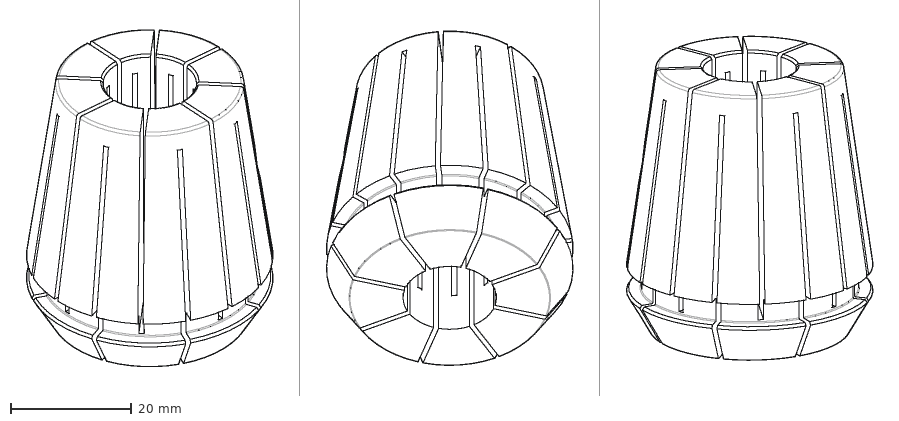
import cadquery as cq
import math

height = 46.0
max_diameter = 41.0
bore_diameter = 15.5
cone_angle = 8.0
nose_angle = 30.0

nose_height = 6.6
flange_top = 7.1
flange_bevel = 0.35
neck_radius = 18.1
cone_base = 11.15

top_fillet = 0.5
bore_chamfer = 0.4
groove_fillet = 0.2
nose_fillet = 0.2
edge_margin = 0.05

slots_per_side = 8
slot_width = 0.87
lower_slot_top = 42.55
upper_slot_floor = 7.6

max_radius = max_diameter / 2
bore_radius = bore_diameter / 2
nose_radius = max_radius - nose_height * math.tan(math.radians(nose_angle))
top_radius = max_radius - (height - cone_base) * math.tan(math.radians(cone_angle))
slot_pitch = 360 / slots_per_side


def circle_within(radius, z):
    """Selector for circular edges at height z that are no larger than the given radius."""
    reach = radius + edge_margin
    low_corner = (-reach, -reach, z - edge_margin)
    high_corner = (reach, reach, z + edge_margin)
    return cq.selectors.BoxSelector(low_corner, high_corner, boundingbox=True)


def outer_body():
    """Solid of revolution: nose cone, flange, groove and clamping cone."""
    section = [
        (0, 0),
        (nose_radius, 0),
        (max_radius, nose_height),
        (max_radius - flange_bevel, flange_top),
        (neck_radius, flange_top),
        (neck_radius, cone_base),
        (max_radius, cone_base),
        (top_radius, height),
        (0, height),
    ]
    body = cq.Workplane("XZ").polyline(section).close().revolve(360, (0, 0, 0), (0, 1, 0))
    for groove_level in (flange_top, cone_base):
        body = body.edges(circle_within(neck_radius, groove_level)).fillet(groove_fillet)
    body = body.edges(circle_within(top_radius, height)).fillet(top_fillet)
    return body.edges(circle_within(nose_radius, 0)).fillet(nose_fillet)


def bored(body):
    """Cut the through bore and chamfer its mouth at the top face."""
    bore = cq.Workplane("XY").circle(bore_radius).extrude(height)
    return body.cut(bore).edges(circle_within(bore_radius, height)).chamfer(bore_chamfer)


def radial_slots(bottom, top, first_angle):
    """Equally spaced slots from the axis outward, between two heights."""
    blade = (
        cq.Workplane("XY", origin=(0, 0, bottom))
        .rect(max_diameter, slot_width)
        .extrude(top - bottom)
        .translate((max_radius, 0, 0))
    )
    slots = cq.Workplane("XY")
    for i in range(slots_per_side):
        slots = slots.add(blade.rotate((0, 0, 0), (0, 0, 1), first_angle + i * slot_pitch))
    return slots.combine()


lower_slots = radial_slots(0, lower_slot_top, 0)
upper_slots = radial_slots(upper_slot_floor, height, slot_pitch / 2)

result = bored(outer_body()).cut(lower_slots).cut(upper_slots)